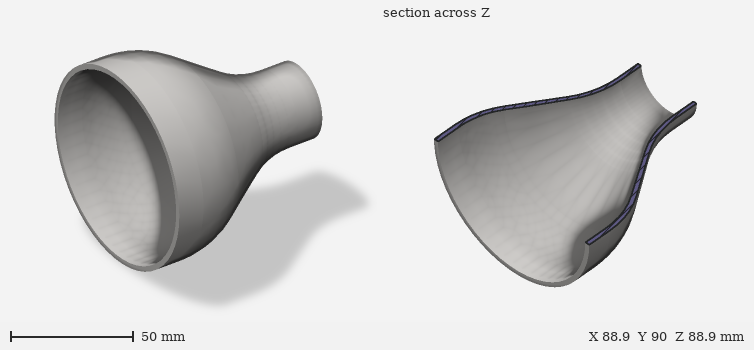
import cadquery as cq
import math

length = 90.0
wide_outer_diameter = 88.9
wide_inner_diameter = 84.3
narrow_outer_diameter = 33.7
narrow_inner_diameter = 29.7
collar_length = 12.0

outer_bend_radius = 40.0
wide_wall = (wide_outer_diameter - wide_inner_diameter) / 2
narrow_wall = (narrow_outer_diameter - narrow_inner_diameter) / 2
wide_inner_bend_radius = outer_bend_radius - wide_wall
narrow_inner_bend_radius = outer_bend_radius + narrow_wall


def cone_half_angle(radius_drop, wide_bend_radius, narrow_bend_radius):
    """Angle to the axis of the straight line tangent to both bend arcs."""
    bend_sum = wide_bend_radius + narrow_bend_radius
    radial_gap = bend_sum - radius_drop
    axial_gap = length - 2 * collar_length
    centre_distance = math.hypot(radial_gap, axial_gap)
    return math.atan2(axial_gap, radial_gap) - math.acos(bend_sum / centre_distance)


def reducer_body(wide_diameter, narrow_diameter, wide_bend_radius, narrow_bend_radius):
    """Solid of revolution about Y: collar, bend, cone, reverse bend, collar."""
    wide_radius = wide_diameter / 2
    narrow_radius = narrow_diameter / 2
    wide_bend_start = collar_length
    narrow_bend_end = length - collar_length

    angle = cone_half_angle(wide_radius - narrow_radius, wide_bend_radius, narrow_bend_radius)
    cone_start_y = wide_bend_start + wide_bend_radius * math.sin(angle)
    cone_start_radius = wide_radius - wide_bend_radius * (1 - math.cos(angle))
    cone_end_y = narrow_bend_end - narrow_bend_radius * math.sin(angle)
    cone_end_radius = narrow_radius + narrow_bend_radius * (1 - math.cos(angle))

    profile = (
        cq.Workplane("XY")
        .lineTo(wide_radius, 0)
        .lineTo(wide_radius, wide_bend_start)
        .tangentArcPoint((cone_start_radius, cone_start_y), relative=False)
        .lineTo(cone_end_radius, cone_end_y)
        .tangentArcPoint((narrow_radius, narrow_bend_end), relative=False)
        .lineTo(narrow_radius, length)
        .lineTo(0, length)
        .close()
    )
    return profile.revolve(360, (0, 0, 0), (0, 1, 0))


outside = reducer_body(
    wide_outer_diameter,
    narrow_outer_diameter,
    outer_bend_radius,
    outer_bend_radius,
)
bore = reducer_body(
    wide_inner_diameter,
    narrow_inner_diameter,
    wide_inner_bend_radius,
    narrow_inner_bend_radius,
)
result = outside.cut(bore)